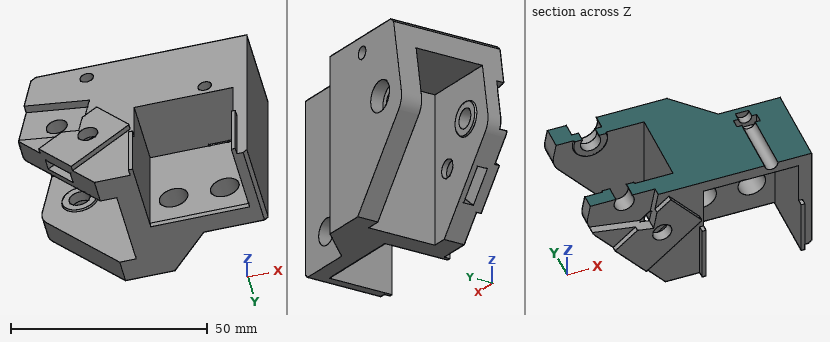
import cadquery as cq
import math

LENGTH = 60.3
HEIGHT = 49.3
DEPTH = 32.25
OVERLAP = 0.6

LEAN = 10.0
SLANT = 50.0
NOSE_RADIUS = 5.9
NOSE_CENTER_Z = 26.5
TOP_CHAMFER_X = 5.05
TOP_CHAMFER_DROP = 1.2
FOOT_CHAMFER = 0.95

BACK_STEP_Y = 22.2
BACK_STEP_X = 43.4

CHEEK = 6.1
CAVITY_TOP = 41.75
WEB = 6.1

PIVOT = (10.0, 29.6)
PIVOT_DIAMETER = 5.5
BOSS_BASE_DIAMETER = 9.6
BOSS_FACE_DIAMETER = 9.15
BOSS_HEIGHT = 0.5
PIVOT_HEAD_DIAMETER = 8.75
PIVOT_HEAD_DEPTH = 3.75
RECESS_DEPTH = 2.2
RECESS_HEIGHT = 14.0
RECESS_REACH = 7.95

BOLT = (19.0, 19.1)
BOLT_DIAMETER = 5.2
PAD_THICKNESS = 1.4
PAD_WIDTH = 13.25
PAD_REACH = 8.6
NUT_SLOT_WIDTH = 10.15
NUT_SLOT_Y = (1.6, 4.6)

POCKET_X = (30.8, 56.7)
POCKET_TOP = 28.2
POCKET_DEPTH = 16.5
POCKET_EDGE_CHAMFER = 0.65
LIP_X = ((29.75, POCKET_X[0]), (POCKET_X[1], 57.7))
LIP_HEIGHT = 16.05
LIP_THICKNESS = 1.75
PORT_DIAMETER = 7.5
PORT_X = (37.0, 50.35)
PORT_Z = 9.4

SMALL_DIAMETER = 3.5
UPPER_HOLE = (18.4, 44.75)
SCREW_HOLE = (49.3, 31.25)
SCREW_DEPTH = 20.5
TOP_SLOT_LENGTH = 6.2
TOP_SLOT_Y = (16.1, 18.35)


def box(x, y, z):
    """Axis-aligned box from (low, high) pairs."""
    size = (x[1] - x[0], y[1] - y[0], z[1] - z[0])
    return cq.Workplane("XY").box(*size, centered=False).translate((x[0], y[0], z[0]))


def tilted_box(center, angle, u, y, v):
    """Box about a Y axis through center; u is raised from +X by angle."""
    block = box(u, y, v).rotate((0, 0, 0), (0, 1, 0), -angle)
    return block.translate((center[0], 0, center[1]))


def bore(center, diameter, start, end):
    """Cylinder along Y."""
    plane = cq.Workplane("XZ", origin=(center[0], start, center[1]))
    return plane.circle(diameter / 2).extrude(start - end)


def nose_point(angle):
    """Point of the nose arc, angle in degrees above the -X direction."""
    a = math.radians(angle)
    return (NOSE_RADIUS * (1 - math.cos(a)), NOSE_CENTER_Z + NOSE_RADIUS * math.sin(a))


def side_profile(start, end):
    """Side outline extruded along Y."""
    arc_top = nose_point(LEAN)
    arc_end = nose_point(SLANT - 90)
    foot_x = arc_end[0] + arc_end[1] / math.tan(math.radians(SLANT))
    shoulder_z = HEIGHT - TOP_CHAMFER_DROP
    shoulder_x = arc_top[0] + (shoulder_z - arc_top[1]) * math.tan(math.radians(LEAN))
    return (
        cq.Workplane("XZ", origin=(0, start, 0))
        .moveTo(foot_x, 0)
        .lineTo(LENGTH - FOOT_CHAMFER, 0)
        .lineTo(LENGTH, FOOT_CHAMFER)
        .lineTo(LENGTH, HEIGHT)
        .lineTo(TOP_CHAMFER_X, HEIGHT)
        .lineTo(shoulder_x, shoulder_z)
        .lineTo(*arc_top)
        .threePointArc(nose_point(0), arc_end)
        .close()
        .extrude(start - end)
    )


def back_clearance():
    """Wedge and step removed behind the right end, with a 45 degree face."""
    rise = DEPTH - BACK_STEP_Y
    return (
        cq.Workplane("XY")
        .polyline([
            (BACK_STEP_X - rise, DEPTH),
            (BACK_STEP_X, BACK_STEP_Y),
            (LENGTH, BACK_STEP_Y),
            (LENGTH, DEPTH),
        ])
        .close()
        .extrude(HEIGHT)
    )


def boss(face_y, direction):
    """Conical boss on a cavity wall, rising along Y in the given direction."""
    cone = cq.Solid.makeCone(
        BOSS_BASE_DIAMETER / 2,
        BOSS_FACE_DIAMETER / 2,
        BOSS_HEIGHT,
        cq.Vector(PIVOT[0], face_y, PIVOT[1]),
        cq.Vector(0, direction, 0),
    )
    return cq.Workplane("XY").add(cone)


def pocket():
    """Front pocket, with its back wall chamfered along the bottom edge."""
    return (
        cq.Workplane("YZ", origin=(POCKET_X[0], 0, 0))
        .polyline([
            (-OVERLAP, 0),
            (POCKET_DEPTH + POCKET_EDGE_CHAMFER, 0),
            (POCKET_DEPTH, POCKET_EDGE_CHAMFER),
            (POCKET_DEPTH, POCKET_TOP),
            (-OVERLAP, POCKET_TOP),
        ])
        .close()
        .extrude(POCKET_X[1] - POCKET_X[0])
    )


body = side_profile(0, DEPTH).cut(back_clearance())
cavity_y = (CHEEK, DEPTH - CHEEK)
cavity_x = (-OVERLAP, POCKET_X[0] - WEB)
body = body.cut(box(cavity_x, cavity_y, (-OVERLAP, CAVITY_TOP)))
body = body.union(boss(cavity_y[0], 1)).union(boss(cavity_y[1], -1))

pad = tilted_box(
    BOLT,
    90 - SLANT,
    (-LENGTH, PAD_REACH),
    (-PAD_THICKNESS, OVERLAP),
    (-PAD_WIDTH / 2, PAD_WIDTH / 2),
)
pad = pad.intersect(side_profile(-PAD_THICKNESS, OVERLAP))
pad = pad.intersect(box((0, LIP_X[0][0]), (-PAD_THICKNESS, OVERLAP), (0, HEIGHT)))
body = body.union(pad)

body = body.cut(tilted_box(
    PIVOT,
    -LEAN,
    (-LENGTH, RECESS_REACH),
    (-PAD_THICKNESS - OVERLAP, RECESS_DEPTH),
    (-RECESS_HEIGHT / 2, RECESS_HEIGHT / 2),
))
body = body.cut(tilted_box(
    BOLT,
    90 - SLANT,
    (-LENGTH, NUT_SLOT_WIDTH / 2),
    NUT_SLOT_Y,
    (-NUT_SLOT_WIDTH / 2, NUT_SLOT_WIDTH / 2),
))

body = body.cut(pocket())
for lip_x in LIP_X:
    body = body.union(box(lip_x, (-LIP_THICKNESS, OVERLAP), (0, LIP_HEIGHT)))

front = -PAD_THICKNESS - OVERLAP
body = body.cut(bore(PIVOT, PIVOT_DIAMETER, front, DEPTH + OVERLAP))
body = body.cut(bore(PIVOT, PIVOT_HEAD_DIAMETER, DEPTH - PIVOT_HEAD_DEPTH, DEPTH + OVERLAP))
body = body.cut(bore(BOLT, BOLT_DIAMETER, front, CHEEK + OVERLAP))
body = body.cut(bore(UPPER_HOLE, SMALL_DIAMETER, front, DEPTH + OVERLAP))
body = body.cut(bore(SCREW_HOLE, SMALL_DIAMETER, front, SCREW_DEPTH))
for port_x in PORT_X:
    body = body.cut(bore((port_x, PORT_Z), PORT_DIAMETER, POCKET_DEPTH - OVERLAP, DEPTH + OVERLAP))

slot_x = (SCREW_HOLE[0] - TOP_SLOT_LENGTH / 2, SCREW_HOLE[0] + TOP_SLOT_LENGTH / 2)
body = body.cut(box(slot_x, TOP_SLOT_Y, (POCKET_TOP, HEIGHT + OVERLAP)))

result = body